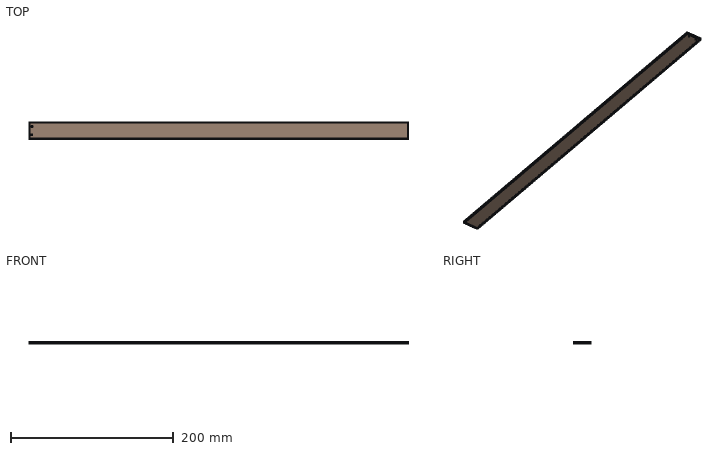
import cadquery as cq

LENGTH = 465.0
WIDTH = 20.0
THICKNESS = 1.6

HOLE_DIAMETER = 0.5
HOLE_END_DISTANCE = 3.0
HOLE_SPACING = WIDTH / 2


def make_strip():
    """Flat rectangular strip lying in the XY plane."""
    return cq.Workplane("XY").box(LENGTH, WIDTH, THICKNESS)


def drill_end_holes(strip):
    """Drill the two holes, side by side across the width."""
    hole_x = -LENGTH / 2 + HOLE_END_DISTANCE
    hole_y = HOLE_SPACING / 2
    return (
        strip.faces(">Z")
        .workplane(origin=(0, 0, 0))
        .pushPoints([(hole_x, -hole_y), (hole_x, hole_y)])
        .hole(HOLE_DIAMETER)
    )


result = drill_end_holes(make_strip())